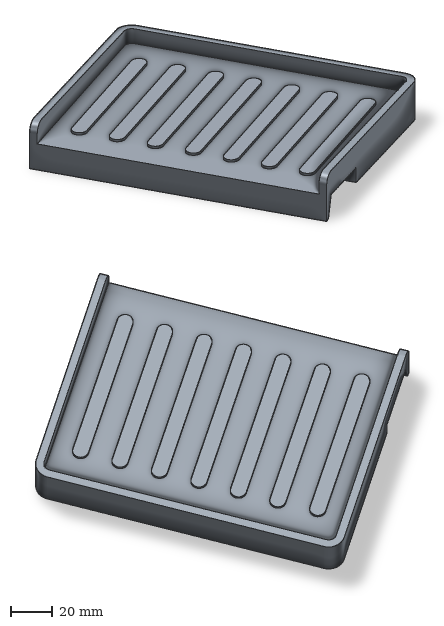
import cadquery as cq
import math

width = 156.0
depth = 120.0
height = 25.0
corner_radius = 8.0
front_top_radius = 6.0

base_z = 4.0
recess_z = 12.0
recess_depth = 37.9
lip_root = 6.0
lip_tip = 2.5
lip_tip_z = 0.6

wall = 4.0
inner_radius = corner_radius - wall
floor_front_z = 14.0
floor_back_z = 17.0
floor_length = depth - wall
floor_slope = (floor_back_z - floor_front_z) / floor_length
floor_angle = math.degrees(math.atan(floor_slope))

rib_count = 7
rib_pitch = 20.0
rib_width = 8.0
rib_height = 1.2
rib_front = 15.9
rib_length = 85.0
first_rib_length = 84.2


def make_body():
    """Extrude the side profile across the width and round the rear corners."""
    profile = (
        cq.Workplane("YZ")
        .moveTo(0, 0)
        .lineTo(lip_tip, lip_tip_z)
        .lineTo(lip_root, recess_z)
        .lineTo(recess_depth, recess_z)
        .lineTo(recess_depth, base_z)
        .lineTo(depth, base_z)
        .lineTo(depth, height)
        .lineTo(front_top_radius, height)
        .radiusArc((0, height - front_top_radius), -front_top_radius)
        .close()
    )
    body = profile.extrude(width / 2, both=True)
    return body.edges("|Z and >Y").fillet(corner_radius)


def make_tray_space():
    """Space above the sloping floor, open at the front and the top."""
    space = (
        cq.Workplane("YZ")
        .moveTo(0, floor_front_z)
        .lineTo(floor_length, floor_back_z)
        .lineTo(floor_length, height)
        .lineTo(0, height)
        .close()
        .extrude(width / 2 - wall, both=True)
    )
    return space.edges("|Z and >Y").fillet(inner_radius)


def make_rib(x, length):
    """Round-ended rib standing square to the sloping floor."""
    return (
        cq.Workplane("XY")
        .center(x, rib_front + length / 2)
        .slot2D(length, rib_width, 90)
        .extrude(rib_height)
        .rotate((0, 0, 0), (1, 0, 0), floor_angle)
        .translate((0, 0, floor_front_z))
    )


result = make_body().cut(make_tray_space())
for index in range(rib_count):
    rib_x = (index - (rib_count - 1) / 2) * rib_pitch
    length = first_rib_length if index == 0 else rib_length
    result = result.union(make_rib(rib_x, length))